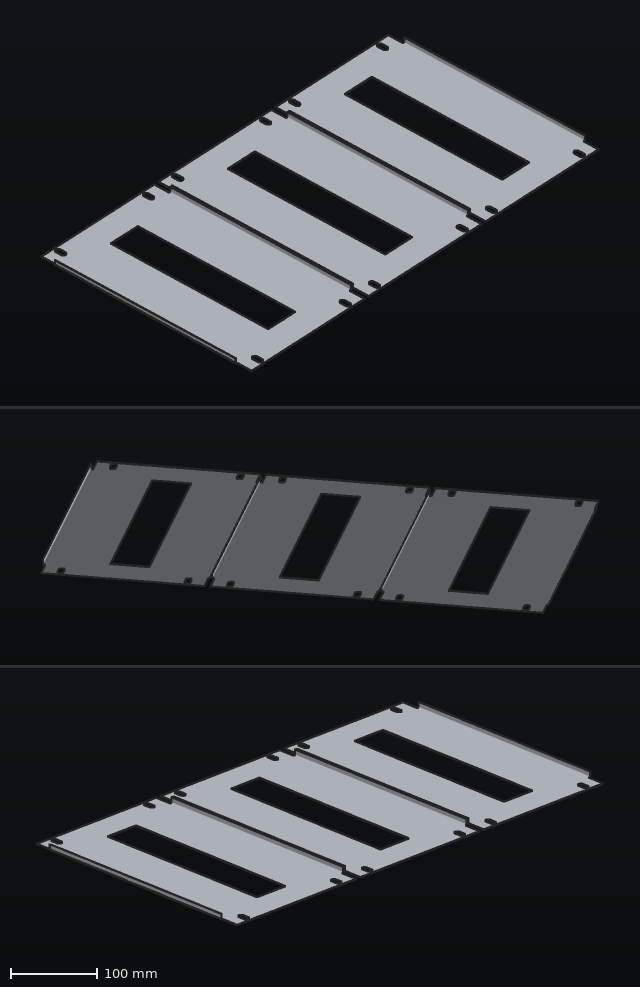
import cadquery as cq

total_length = 598.0
panel_count = 3
panel_gap = 2.0
panel_depth = (total_length - (panel_count - 1) * panel_gap) / panel_count
panel_pitch = panel_depth + panel_gap

panel_width = 332.0
sheet_thickness = 1.0
flange_width = 285.0
flange_straight_height = 5.7
bend_inner_radius = 1.3
edge_setback = 2.5
bend_outer_radius = bend_inner_radius + sheet_thickness
flange_height = bend_outer_radius + flange_straight_height

window_width = 248.0
window_depth = 46.0

slot_length = 15.5
slot_diameter = 7.0
slot_edge_inset = 11.0
slot_spacing_x = panel_width - 2 * slot_edge_inset
slot_spacing_y = 150.0


def make_plate():
    """Flat sheet that ends in Y just short of the bends."""
    return cq.Workplane("XY").box(
        panel_width,
        panel_depth - 2 * edge_setback,
        sheet_thickness,
        centered=(True, True, False),
    )


def make_flange():
    """Upturned flange with its bend and a short flat neck, along the +Y edge of the plate."""
    outer_y = panel_depth / 2
    inner_y = outer_y - sheet_thickness
    bend_start_y = outer_y - bend_outer_radius
    plate_edge_y = outer_y - edge_setback
    return (
        cq.Workplane("YZ", origin=(-flange_width / 2, 0, 0))
        .moveTo(plate_edge_y, 0)
        .lineTo(bend_start_y, 0)
        .radiusArc((outer_y, bend_outer_radius), -bend_outer_radius)
        .lineTo(outer_y, flange_height)
        .lineTo(inner_y, flange_height)
        .lineTo(inner_y, bend_outer_radius)
        .radiusArc((bend_start_y, sheet_thickness), bend_inner_radius)
        .lineTo(plate_edge_y, sheet_thickness)
        .close()
        .extrude(flange_width)
    )


def cut_window(panel):
    window = cq.Workplane("XY").rect(window_width, window_depth).extrude(sheet_thickness)
    return panel.cut(window)


def cut_mounting_slots(panel):
    slots = (
        cq.Workplane("XY")
        .rect(slot_spacing_x, slot_spacing_y, forConstruction=True)
        .vertices()
        .slot2D(slot_length, slot_diameter)
        .extrude(sheet_thickness)
    )
    return panel.cut(slots)


def make_panel():
    back_flange = make_flange()
    front_flange = back_flange.mirror("XZ")
    panel = make_plate().union(back_flange).union(front_flange)
    panel = cut_window(panel)
    return cut_mounting_slots(panel)


panels = []
for index in range(panel_count):
    panel_y = (index - (panel_count - 1) / 2) * panel_pitch
    panels.append(make_panel().translate((0, panel_y, 0)).val())

result = cq.Compound.makeCompound(panels)